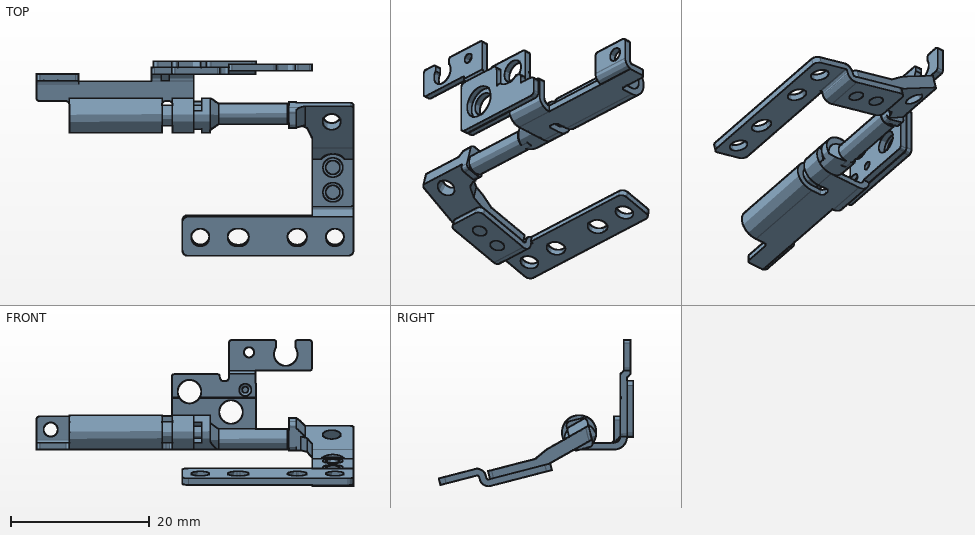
import cadquery as cq
import math


sheet = 1.0
shaft_radius = 1.5
barrel_radius = shaft_radius + sheet

barrel_start = 4.75
barrel_end = 22.75
window_start = 18.15
window_end = 19.65
leaf_bottom = -barrel_radius
leaf_top = leaf_bottom + sheet
leaf_front_y = 2.06
leaf_back_y = 4.95
leaf_corner = 0.5
ear_length = 6.1
ear_inner_y = 5.02
ear_top = 2.35
ear_bend_radius = 0.45
ear_hole_x = 2.07
ear_hole_z = 0.41
ear_hole_radius = 1.0
upright_inner_y = 5.93
upright_outer_y = upright_inner_y + sheet
upright_bend_radius = 0.9
upright_bottom = leaf_top + upright_bend_radius
upright_foot_x = 16.6
upright_left_x = 19.55
upright_right_x = 31.65
upright_top = 8.43
shoulder_z = 2.4
score_z = 5.0
score_width = 0.15
score_depth = 0.1
rib_start = 18.0
rib_width = 1.15
sheet_corner = 0.4
pick_reach = 0.1
large_holes = [(22.1, 5.88), (28.1, 2.94)]
large_hole_radius = 1.68
pin_holes = [(30.15, 6.14), (20.4, 1.1)]
pin_hole_radius = 0.88
pin_bore_radius = 0.45
pin_hole_depth = 0.8
pilot_hole = (23.6, 1.55)
pilot_radius = 0.6

hook_offset = 0.5
hook_left_x = 27.8
hook_right_x = 39.8
hook_bottom = 8.9
hook_top = 13.35
hook_hole_x = 30.7
hook_hole_z = 11.55
hook_hole_radius = 0.72
keyhole_x = 36.0
keyhole_z = 11.3
keyhole_radius = 1.68
keyhole_throat = 2.75
keyhole_lip = 0.35
relief_radius = 0.65
relief_x = hook_left_x - relief_radius
relief_centre_z = 8.0

back_thickness = 0.9
back_left_x = 16.85
back_right_x = 31.75
back_bottom = -0.7
back_top = 7.47
back_step_z = 4.1
back_clearance_radius = 2.4
back_corner = 0.65

collar_start = 23.85
collar_end = 25.1
cone_end = 26.3
cone_radius = 2.35
rod_y = 0.23
rod_z = -1.0
notch_angles = [(-35, 74), (144, 216)]
rod_end = 36.45
rod_chamfer = 0.2

tilt = 14.5
arm_left_x = 39.8
arm_right_x = 45.8
arm_end_v = 1.55
flange_thickness = 1.1
flange_top = 1.9
flange_bottom = -2.45
flange_corner = 0.65
neck_x = 38.2
neck_run = 0.6
neck_crest = 1.2
neck_side_x = 39.1
neck_side_v = -2.0
neck_end_v = -3.6
ramp_slope = 15.0
ramp_top = 0.6
ramp_thickness = 2.0
ramp_break_v = -5.1
arm_floor = -3.3
arm_thickness = 1.2
arm_top = arm_floor + arm_thickness
step_end_v = -7.1
arm_tip_v = -14.15
arm_corner = 0.5
arm_hole_x = 42.63
arm_hole_v = -1.0
arm_hole_radius = 1.3

rivet_x = (arm_left_x + arm_right_x) / 2
rivet_places = [(rivet_x, -8.3), (rivet_x, -12.0)]
rivet_head_radius = 1.44
rivet_shank_radius = 1.03
rivet_dimple = 0.05
spotface_radius = 2.1

foot_start_v = -5.15
foot_wall_v = -14.6
joggle_inner_radius = 0.3
joggle_outer_radius = joggle_inner_radius + sheet
bar_top = -1.35
bar_bottom = bar_top - sheet
bar_left_x = 21.05
bar_start_v = -15.45
bar_end_v = -21.3
bar_overlap = 0.3
bar_corner = 0.85
bar_hole_v = -18.55
bar_hole_diameter = 2.6
bar_holes = [(23.66, 2.6), (29.15, 3.05), (37.65, 2.8), (43.1, 2.6)]


def box(x0, x1, y0, y1, z0, z1):
    return cq.Workplane("XY").box(x1 - x0, y1 - y0, z1 - z0, centered=False).translate((x0, y0, z0))


def rod_x(radius, x0, x1, y=0, z=0):
    return cq.Workplane("YZ", origin=(x0, 0, 0)).center(y, z).circle(radius).extrude(x1 - x0)


def rod_y_dir(radius, x, z, y0, y1):
    return cq.Workplane("XZ", origin=(0, y0, 0)).center(x, z).circle(radius).extrude(y0 - y1)


def rod_z_dir(radius, x, y, z0, z1):
    return cq.Workplane("XY", origin=(0, 0, z0)).center(x, y).circle(radius).extrude(z1 - z0)


def front_plate(outline, y0, y1):
    """Extrude an XZ outline between two Y planes."""
    return cq.Workplane("XZ", origin=(0, y0, 0)).polyline(outline).close().extrude(y0 - y1)


def near(x, z):
    """Select Y-direction edges of the upright sheets at one XZ corner."""
    return cq.selectors.BoxSelector((x - pick_reach, upright_inner_y, z - pick_reach),
                                    (x + pick_reach, upright_outer_y + back_thickness, z + pick_reach))


def tilted(body):
    return body.rotate((0, 0, 0), (1, 0, 0), tilt)


def bent_flange(x0, x1, inner_y, bend_radius, top):
    """Leaf strip from the barrel axis outward, bent up into a flange."""
    outer_radius = bend_radius + sheet
    bend_y = inner_y - bend_radius
    bend_z = leaf_top + bend_radius
    half = math.sqrt(0.5)
    return (
        cq.Workplane("YZ", origin=(x0, 0, 0))
        .moveTo(leaf_front_y, leaf_bottom)
        .lineTo(bend_y, leaf_bottom)
        .threePointArc((bend_y + outer_radius * half, bend_z - outer_radius * half),
                       (inner_y + sheet, bend_z))
        .lineTo(inner_y + sheet, top)
        .lineTo(inner_y, top)
        .lineTo(inner_y, bend_z)
        .threePointArc((bend_y + bend_radius * half, bend_z - bend_radius * half), (bend_y, leaf_top))
        .lineTo(leaf_front_y, leaf_top)
        .close()
        .extrude(x1 - x0)
    )


def make_barrel():
    tube = rod_x(barrel_radius, barrel_start, barrel_end)
    tube = tube.cut(box(barrel_start, barrel_end, 0, barrel_radius, leaf_bottom, 0))
    tube = tube.union(box(barrel_start, barrel_end, 0, leaf_front_y, leaf_bottom, leaf_top))
    tube = tube.cut(rod_x(shaft_radius, barrel_start, barrel_end))
    window = box(window_start, window_end, -barrel_radius, barrel_radius, leaf_top, barrel_radius)
    window = window.union(box(window_start, window_end, -barrel_radius, leaf_front_y, leaf_bottom, leaf_top))
    return tube.cut(window)


def make_ear():
    ear = bent_flange(0, ear_length, ear_inner_y, ear_bend_radius, ear_top)
    ear = ear.edges("|Y and >Z").fillet(leaf_corner)
    return ear.cut(rod_y_dir(ear_hole_radius, ear_hole_x, ear_hole_z, ear_inner_y, ear_inner_y + sheet))


def make_leaf():
    return box(0, barrel_end, leaf_front_y, leaf_back_y, leaf_bottom, leaf_top)


def make_upright():
    overlap_top = upright_bottom + sheet
    bend = bent_flange(upright_foot_x, barrel_end, upright_inner_y, upright_bend_radius, overlap_top)
    outline = [
        (upright_foot_x, upright_bottom),
        (upright_right_x, upright_bottom),
        (upright_right_x, upright_top),
        (upright_left_x, upright_top),
        (upright_left_x, shoulder_z),
        (upright_foot_x, shoulder_z),
    ]
    plate = front_plate(outline, upright_inner_y, upright_outer_y)
    plate = plate.edges("|Y").edges(near(upright_foot_x, shoulder_z)).fillet(sheet_corner)
    plate = plate.edges("|Y").edges(near(upright_left_x, upright_top)).fillet(sheet_corner)
    plate = plate.edges("|Y").edges(near(upright_right_x, upright_bottom)).fillet(sheet_corner)
    relief = rod_y_dir(relief_radius, relief_x, relief_centre_z, upright_inner_y, upright_outer_y)
    relief = relief.union(box(relief_x - relief_radius, relief_x + relief_radius,
                              upright_inner_y, upright_outer_y, relief_centre_z, upright_top))
    score = box(upright_left_x, upright_right_x, upright_inner_y, upright_inner_y + score_depth,
                score_z - score_width / 2, score_z + score_width / 2)
    plate = plate.cut(relief)
    plate = plate.edges("|Y").edges(near(relief_x - relief_radius, upright_top)).fillet(sheet_corner)
    return plate.cut(score).union(bend)


def make_rib():
    """Small gusset across the inside of the upright's bend."""
    bend_y = upright_inner_y - upright_bend_radius
    return (
        cq.Workplane("YZ", origin=(rib_start, 0, 0))
        .polyline([(bend_y, leaf_top - sheet / 2), (bend_y, leaf_top),
                   (upright_inner_y, upright_bottom), (upright_inner_y + sheet / 2, upright_bottom)])
        .close()
        .extrude(rib_width)
    )


def make_hook_arm():
    inner_y = upright_inner_y + hook_offset
    outer_y = upright_outer_y + hook_offset
    arm = box(hook_left_x, hook_right_x, inner_y, outer_y, hook_bottom, hook_top)
    arm = arm.edges("|Y").fillet(sheet_corner)
    joggle = (
        cq.Workplane("YZ", origin=(hook_left_x, 0, 0))
        .polyline([
            (upright_inner_y, upright_top - hook_offset),
            (upright_inner_y, upright_top),
            (inner_y, hook_bottom),
            (inner_y, hook_bottom + sheet),
            (outer_y, hook_bottom + sheet),
            (outer_y, upright_top),
            (upright_outer_y, upright_top - hook_offset),
        ])
        .close()
        .extrude(upright_right_x - hook_left_x)
    )
    keyhole = rod_y_dir(keyhole_radius, keyhole_x, keyhole_z, inner_y, outer_y)
    throat_left = keyhole_x - keyhole_throat / 2
    throat = box(throat_left, throat_left + keyhole_throat, inner_y, outer_y, keyhole_z, hook_top)
    hole = rod_y_dir(hook_hole_radius, hook_hole_x, hook_hole_z, inner_y, outer_y)
    arm = arm.union(joggle).cut(throat)
    for x in (throat_left, throat_left + keyhole_throat):
        arm = arm.edges("|Y").edges(near(x, hook_top)).fillet(keyhole_lip)
    return arm.cut(keyhole).cut(hole)


def make_bracket():
    bracket = make_leaf().union(make_barrel()).union(make_ear()).union(make_upright())
    bracket = bracket.union(make_rib()).union(make_hook_arm())
    for x in (0, barrel_start, window_start, window_end):
        leaf_edge = cq.selectors.BoxSelector((x - pick_reach, leaf_front_y - pick_reach, leaf_bottom),
                                             (x + pick_reach, leaf_front_y + pick_reach, leaf_top))
        bracket = bracket.edges("|Z").edges(leaf_edge).fillet(leaf_corner)
    for x, z in large_holes:
        bracket = bracket.cut(rod_y_dir(large_hole_radius, x, z, upright_inner_y, upright_outer_y))
    for x, z in pin_holes:
        bracket = bracket.cut(make_pin_hole(x, z))
    pilot = rod_y_dir(pilot_radius, *pilot_hole, upright_inner_y, upright_outer_y)
    return bracket.cut(pilot)


def make_pin_hole(x, z):
    """Blind countersunk hole, opening on the upright's inner face."""
    sink_depth = pin_hole_radius - pin_bore_radius
    return (
        cq.Workplane("XY")
        .polyline([(0, 0), (pin_hole_radius, 0), (pin_bore_radius, sink_depth),
                   (pin_bore_radius, pin_hole_depth), (0, pin_hole_depth)])
        .close()
        .revolve(360, (0, 0), (0, 1))
        .translate((x, upright_inner_y, z))
    )


def make_back_plate():
    """Backing sheet on the upright, hollowed around the large holes."""
    y0 = upright_outer_y
    y1 = upright_outer_y + back_thickness
    hole_x = large_holes[0][0]
    outline = [
        (back_left_x, back_bottom),
        (back_right_x, back_bottom),
        (back_right_x, back_top),
        (hole_x + back_clearance_radius, back_top),
        (hole_x + back_clearance_radius, back_step_z),
        (upright_left_x, back_step_z),
        (upright_left_x, shoulder_z),
        (back_left_x, shoulder_z),
    ]
    plate = front_plate(outline, y0, y1)
    plate = plate.edges("|Y").edges("<X or >X or >Z").fillet(back_corner)
    plate = plate.edges("|Y").edges(near(upright_left_x, back_step_z)).fillet(back_corner)
    for x, z in large_holes:
        plate = plate.cut(rod_y_dir(back_clearance_radius, x, z, y0, y1))
    return plate


def make_sector(start, end):
    """Collar notch between two angles, measured from +Y toward +Z."""
    reach = 2 * barrel_radius
    middle = (start + end) / 2
    rim = []
    for angle in (start, middle, end):
        turn = math.radians(angle)
        rim.append((reach * math.cos(turn), reach * math.sin(turn)))
    wedge = cq.Workplane("YZ", origin=(barrel_end, 0, 0)).polyline([(0, 0), *rim]).close()
    wedge = wedge.extrude(collar_start - barrel_end)
    return wedge.cut(rod_x(shaft_radius, barrel_end, collar_start))


def make_shaft():
    core = rod_x(shaft_radius, barrel_start, barrel_end)
    collar = rod_x(barrel_radius, barrel_end, collar_end)
    for start, end in notch_angles:
        collar = collar.cut(make_sector(start, end))
    cone = (
        cq.Workplane("YZ", origin=(collar_end, 0, 0))
        .center(rod_y, rod_z)
        .circle(cone_radius)
        .workplane(offset=cone_end - collar_end)
        .circle(shaft_radius)
        .loft()
        .intersect(rod_x(barrel_radius, collar_end, cone_end))
    )
    rod = rod_x(shaft_radius, collar_end, rod_end, rod_y, rod_z).faces(">X").chamfer(rod_chamfer)
    return core.union(collar).union(rod).union(cone)


def make_rounded_block(x0, x1):
    """Stretch of the flange's rounded outline between two X places."""
    block = box(x0, x1, -arm_end_v, arm_end_v, flange_bottom, flange_top)
    return block.edges("|X").fillet(flange_corner)


def make_flange():
    """Upright end of the arm that the rod butts against."""
    return make_rounded_block(rod_end, rod_end + flange_thickness)


def make_arm_strip():
    """Side profile of the arm, trimmed to its outline in plan."""
    slope = math.tan(math.radians(ramp_slope))
    ramp_floor = ramp_top - ramp_thickness / math.cos(math.radians(ramp_slope))
    floor_v = arm_end_v - (ramp_floor - arm_floor) / slope
    profile = [
        (arm_end_v, ramp_top),
        (ramp_break_v, ramp_top - slope * (arm_end_v - ramp_break_v)),
        (step_end_v, arm_top),
        (arm_tip_v, arm_top),
        (arm_tip_v, arm_floor),
        (floor_v, arm_floor),
        (arm_end_v, ramp_floor),
    ]
    strip = cq.Workplane("YZ", origin=(rod_end, 0, 0)).polyline(profile).close()
    strip = strip.extrude(arm_right_x - rod_end)
    strip = strip.edges("|Z").edges(">X").fillet(arm_corner)
    plan = [
        (rod_end + flange_thickness, arm_end_v),
        (arm_right_x, arm_end_v),
        (arm_right_x, arm_tip_v),
        (arm_left_x, arm_tip_v),
        (arm_left_x, neck_end_v),
        (neck_side_x, neck_side_v),
        (neck_x, -arm_end_v),
        (rod_end + flange_thickness, -arm_end_v),
    ]
    cutter = cq.Workplane("XY", origin=(0, 0, arm_floor)).polyline(plan).close()
    cutter = cutter.extrude(flange_top - arm_floor)
    return strip.intersect(cutter)


def make_neck():
    """Web that slopes from the flange's crest down onto the ramp."""
    x0 = rod_end + flange_thickness
    outline = [(x0, neck_crest), (neck_x + neck_run, 0),
               (neck_x, -ramp_thickness / 2), (x0, -ramp_thickness / 2)]
    web = front_plate(outline, -2 * arm_end_v, 2 * arm_end_v)
    web = web.rotate((0, 0, 0), (1, 0, 0), ramp_slope)
    lift = ramp_top - arm_end_v * math.tan(math.radians(ramp_slope))
    web = web.translate((0, 0, lift))
    return web.intersect(make_rounded_block(x0, neck_x + neck_run))


def make_arm():
    arm = make_arm_strip().union(make_neck()).union(make_flange())
    hole = rod_z_dir(arm_hole_radius, 0, 0, -2 * ramp_thickness, 2 * ramp_thickness)
    hole = hole.rotate((0, 0, 0), (1, 0, 0), ramp_slope).translate((arm_hole_x, arm_hole_v, 0))
    arm = arm.cut(hole)
    arm = arm.cut(rod_z_dir(spotface_radius, *rivet_places[0], arm_top, ramp_top))
    for x, v in rivet_places:
        arm = arm.cut(rod_z_dir(rivet_head_radius, x, v, arm_floor, arm_top))
    return tilted(arm)


def make_joggle():
    half = math.sqrt(0.5)
    ri, ro = joggle_inner_radius, joggle_outer_radius
    lower_v = foot_wall_v + ri
    lower_z = arm_floor + ri
    upper_v = foot_wall_v - sheet - ri
    upper_z = bar_bottom - ri
    return (
        cq.Workplane("YZ", origin=(arm_left_x, 0, 0))
        .moveTo(foot_start_v, arm_floor)
        .lineTo(lower_v, arm_floor)
        .threePointArc((lower_v - ri * half, lower_z - ri * half), (foot_wall_v, lower_z))
        .lineTo(foot_wall_v, upper_z)
        .threePointArc((upper_v + ro * half, upper_z + ro * half), (upper_v, bar_top))
        .lineTo(upper_v - bar_overlap, bar_top)
        .lineTo(upper_v - bar_overlap, bar_bottom)
        .lineTo(upper_v, bar_bottom)
        .threePointArc((upper_v + ri * half, upper_z + ri * half), (foot_wall_v - sheet, upper_z))
        .lineTo(foot_wall_v - sheet, lower_z)
        .threePointArc((lower_v - ro * half, lower_z - ro * half), (lower_v, arm_floor - sheet))
        .lineTo(foot_start_v, arm_floor - sheet)
        .close()
        .extrude(arm_right_x - arm_left_x)
    )


def make_foot():
    strip = make_joggle().edges("|Z").edges(">Y").fillet(bar_corner)
    bar = box(bar_left_x, arm_right_x, bar_end_v, bar_start_v, bar_bottom, bar_top)
    bar = bar.edges("|Z").edges("<X or <Y").fillet(bar_corner)
    foot = strip.union(bar)
    for x, length in bar_holes:
        hole = cq.Workplane("XY", origin=(x, bar_hole_v, bar_bottom))
        if length > bar_hole_diameter:
            hole = hole.slot2D(length, bar_hole_diameter)
        else:
            hole = hole.circle(bar_hole_diameter / 2)
        foot = foot.cut(hole.extrude(sheet))
    for x, v in rivet_places:
        foot = foot.cut(rod_z_dir(rivet_shank_radius, x, v, arm_floor - sheet, arm_floor))
    return tilted(foot)


def make_rivet(x, v):
    """Flush rivet: wide head in the arm, shank in the foot, dimpled top."""
    rivet = rod_z_dir(rivet_head_radius, x, v, arm_floor, arm_top)
    rivet = rivet.union(rod_z_dir(rivet_shank_radius, x, v, arm_floor - sheet, arm_floor))
    rivet = rivet.cut(rod_z_dir(rivet_shank_radius, x, v, arm_top - rivet_dimple, arm_top))
    return tilted(rivet)


bracket = make_bracket()
back_plate = make_back_plate()
shaft = make_shaft()
arm = make_arm()
foot = make_foot()
rivets = [make_rivet(x, v) for x, v in rivet_places]

result = cq.Compound.makeCompound([
    bracket.val(), back_plate.val(), shaft.val(), arm.val(), foot.val(),
    *[rivet.val() for rivet in rivets],
])